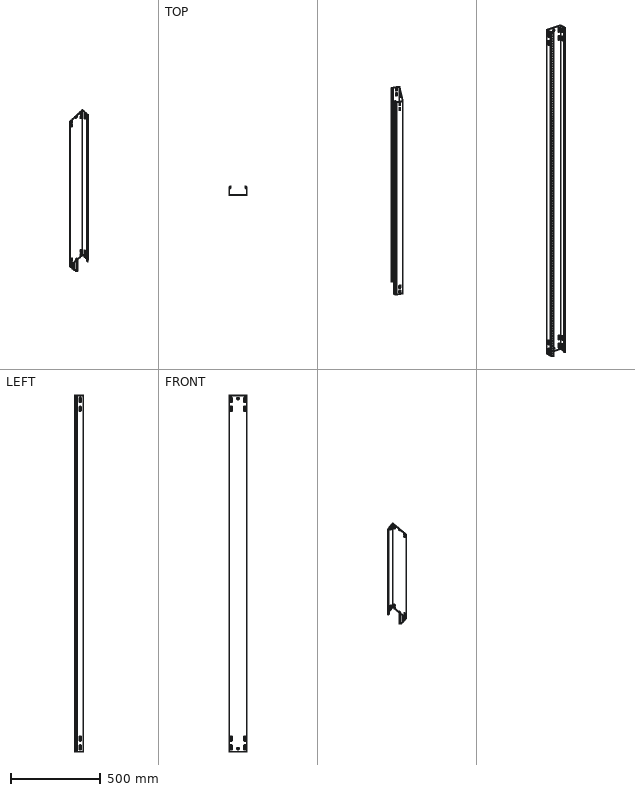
import math

import cadquery as cq

length = 2000.0
width = 100.0
height = 49.97
sheet = 1.0

lip_angle = math.radians(40.0)
lip_slope = math.tan(lip_angle)
lip_start_height = 35.0
lip_width = 10.0
lip_top_width = 2.5

along_length = 90.0
slot_length = 25.0
slot_width = 7.0
slot_end_distances = (25.0, 75.0)
base_slot_offset = 37.5
wall_slot_height = 18.0

end_hole_diameter = 10.0
end_hole_distance = 18.0


def both_ends(distances):
    """Heights of features placed at the same distances from both ends."""
    return [z for d in distances for z in (d, length - d)]


def half_profile():
    """Corners of the +X half section, along its outside face and back along its inside face."""
    wall_x = width / 2
    riser_x = wall_x - lip_width
    bend_x = riser_x + lip_top_width
    slant_drop = sheet / math.cos(lip_angle)

    hook_x = riser_x + sheet
    hook_y = lip_start_height + (wall_x - hook_x) * lip_slope
    under_bend_x = bend_x - (slant_drop - sheet) / lip_slope

    inner_slant_y = lip_start_height - slant_drop

    tip_y = height - (wall_x - bend_x) * lip_slope
    tip_under_x = wall_x - sheet * math.sin(lip_angle)
    tip_under_y = tip_y - sheet * math.cos(lip_angle)

    outside = [
        (wall_x, 0),
        (wall_x, lip_start_height),
        (hook_x, hook_y),
        (hook_x, height - sheet),
        (under_bend_x, height - sheet),
        (tip_under_x, tip_under_y),
    ]
    inside = [
        (wall_x, tip_y),
        (bend_x, height),
        (riser_x, height),
        (riser_x, inner_slant_y + lip_width * lip_slope),
        (wall_x - sheet, inner_slant_y + sheet * lip_slope),
        (wall_x - sheet, sheet),
    ]
    return outside + inside


def tray_body():
    """Full section, mirrored about the centre plane and run along the length."""
    right = half_profile()
    left = [(-x, y) for x, y in reversed(right)]
    return cq.Workplane("XY").polyline(right + left).close().extrude(length)


def base_slots():
    """Cutters through the base, two columns of slots."""
    offsets = (-base_slot_offset, base_slot_offset)
    points = [(x, z) for x in offsets for z in both_ends(slot_end_distances)]
    return cq.Workplane("XZ").pushPoints(points).slot2D(slot_length, slot_width, along_length).extrude(-sheet)


def wall_slots():
    """Cutters through both side walls at once."""
    points = [(wall_slot_height, z) for z in both_ends(slot_end_distances)]
    slots = cq.Workplane("YZ").pushPoints(points).slot2D(slot_length, slot_width, along_length)
    return slots.extrude(width / 2, both=True)


def end_holes():
    """Round cutters through the base."""
    points = [(0, z) for z in both_ends([end_hole_distance])]
    return cq.Workplane("XZ").pushPoints(points).circle(end_hole_diameter / 2).extrude(-sheet)


result = tray_body().cut(base_slots()).cut(wall_slots()).cut(end_holes())